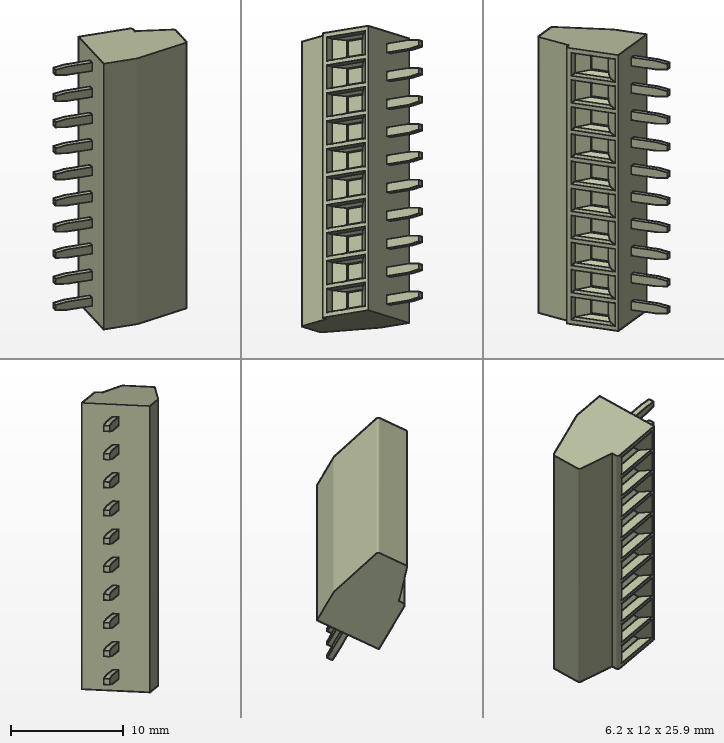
import cadquery as cq


way_count = 10
body_length = 25.85
first_way = 1.5
pitch = (body_length - 2 * first_way) / (way_count - 1)

body_width = 6.2
body_height = 8.53
ledge_depth = 0.67
ledge_height = 5.1
top_left = 1.63
top_right = 4.6
right_shoulder_height = 3.2
edge_radius = 0.25

mouth_bottom = 0.3
mouth_top = 4.55
mouth_height = 2.15
mouth_depth = 0.85
hole_bottom = 1.47
hole_top = 3.2
hole_height = 1.5
hole_lift = 0.05
hole_depth = 0.28
funnel_end = hole_bottom - mouth_bottom
hole_end = funnel_end + hole_depth

pin_length = 3.47
pin_thickness = 0.55
pin_width = 0.8
pin_tip_width = 0.52
pin_taper_length = 1.03
pin_root = 0.25


def make_body():
    """Extruded housing with rounded ledge and top edges."""
    outline = [
        (0, 0),
        (body_width, 0),
        (body_width, right_shoulder_height),
        (top_right, body_height),
        (top_left, body_height),
        (ledge_depth, ledge_height),
        (0, ledge_height),
    ]
    body = cq.Workplane("XY").polyline(outline).close().extrude(body_length)
    rounded_corners = [
        (top_right, body_height),
        (top_left, body_height),
        (0, ledge_height),
    ]
    for x, y in rounded_corners:
        edge_middle = (x, y, body_length / 2)
        body = body.edges(cq.selectors.NearestToPointSelector(edge_middle)).fillet(edge_radius)
    return body


def make_funnel():
    """Tapered part of the wire entry, from the mouth's inner end to the clamp hole."""
    mouth_end_bottom = mouth_bottom + mouth_depth
    mouth_middle = (mouth_end_bottom + mouth_top) / 2
    hole_middle = (hole_bottom + hole_top) / 2
    funnel = cq.Workplane("YZ", origin=(mouth_depth, mouth_middle, 0))
    funnel = funnel.rect(mouth_top - mouth_end_bottom, mouth_height)
    funnel = funnel.workplane(offset=funnel_end - mouth_depth)
    funnel = funnel.center(hole_middle - mouth_middle, hole_lift)
    return funnel.rect(hole_top - hole_bottom, hole_height).loft(ruled=True)


def make_wire_entry():
    """Wire entry pocket centred on Z = 0."""
    mouth_outline = [
        (0, mouth_bottom),
        (mouth_depth, mouth_bottom + mouth_depth),
        (mouth_depth, mouth_top),
        (0, mouth_top),
    ]
    mouth = cq.Workplane("XY").polyline(mouth_outline).close().extrude(mouth_height / 2, both=True)
    hole_size = (hole_end, hole_top - hole_bottom, hole_height)
    hole = cq.Workplane("XY").box(*hole_size, centered=(False, False, True))
    hole = hole.translate((0, hole_bottom, hole_lift))
    return mouth.union(make_funnel()).union(hole)


def make_pin():
    """Flat pin with a tip tapered in Z, centred on Z = 0."""
    taper_start = pin_taper_length - pin_length
    outline = [
        (pin_root, -pin_width / 2),
        (taper_start, -pin_width / 2),
        (-pin_length, -pin_tip_width / 2),
        (-pin_length, pin_tip_width / 2),
        (taper_start, pin_width / 2),
        (pin_root, pin_width / 2),
    ]
    pin = cq.Workplane("YZ").polyline(outline).close().extrude(pin_thickness / 2, both=True)
    return pin.translate((body_width / 2, 0, 0))


result = make_body()
wire_entry = make_wire_entry()
pin = make_pin()
for way in range(way_count):
    way_centre = (0, 0, first_way + way * pitch)
    result = result.cut(wire_entry.translate(way_centre))
    result = result.union(pin.translate(way_centre))